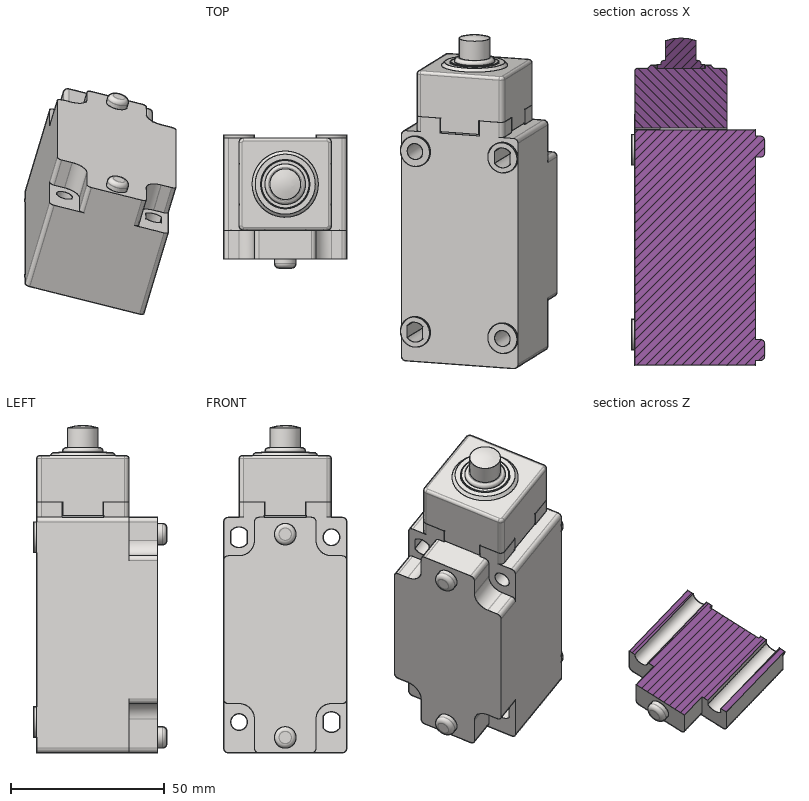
import cadquery as cq
import math


housing_width = 40.0
housing_depth = 39.3
housing_height = 76.5
edge_radius = 1.5

ear_depth = 30.0
lobe_width = 20.0
notch_radius = 5.0
notch_reach = 6.0

hole_spacing_x = 30.0
hole_spacing_z = 60.0
lower_hole_z = 10.0
hole_diameter = 5.3
slot_length = 6.6
pad_diameter = 10.0
pad_thickness = 1.0
upper_hole_z = lower_hole_z + hole_spacing_z
hole_x = hole_spacing_x / 2

screw_diameter = 7.0
screw_height = 3.0
screw_edge_radius = 1.5
screw_bottom_z = 5.0
screw_top_z = 71.0

head_size = 30.0
head_height = 20.0
post_height = 5.0
head_foot_width = 13.0
post_gap = 0.25
foot_gap = 0.5
head_top_radius = 1.0
head_center_y = -head_size / 2
head_base_z = housing_height + post_height
head_top_z = housing_height + head_height
post_width = head_size / 2 - head_foot_width / 2 - post_gap

collar_base_diameter = 21.5
collar_top_diameter = 19.5
collar_height = 1.0
recess_diameter = 16.0

flange_radius = 15.4 / 2
flange_height = 1.25
shoulder_radius = 13.2 / 2
shoulder_height = 2.6
shoulder_edge_radius = 1.2
plunger_radius = 5.0
plunger_edge_height = 9.0
plunger_height = 9.85


def block_on(z, size_x, size_y, height):
    """Rectangular block on height z, centred on the head axis."""
    return (
        cq.Workplane("XY", origin=(0, head_center_y, z))
        .rect(size_x, size_y)
        .extrude(height)
    )


def rounded_column(z, height):
    """Square column of the head's footprint with rounded vertical edges."""
    return block_on(z, head_size, head_size, height).edges("|Z").fillet(edge_radius)


def lobe_outline():
    """Front outline of the housing, with a rounded notch at each corner."""
    side_x = housing_width / 2
    lobe_x = lobe_width / 2
    low_z = lower_hole_z + notch_reach
    high_z = upper_hole_z - notch_reach
    return (
        cq.Workplane("XZ", origin=(0, -ear_depth, 0))
        .moveTo(-lobe_x, 0)
        .lineTo(lobe_x, 0)
        .lineTo(lobe_x, low_z - notch_radius)
        .radiusArc((lobe_x + notch_radius, low_z), notch_radius)
        .lineTo(side_x, low_z)
        .lineTo(side_x, high_z)
        .lineTo(lobe_x + notch_radius, high_z)
        .radiusArc((lobe_x, high_z + notch_radius), notch_radius)
        .lineTo(lobe_x, housing_height)
        .lineTo(-lobe_x, housing_height)
        .lineTo(-lobe_x, high_z + notch_radius)
        .radiusArc((-lobe_x - notch_radius, high_z), notch_radius)
        .lineTo(-side_x, high_z)
        .lineTo(-side_x, low_z)
        .lineTo(-lobe_x - notch_radius, low_z)
        .radiusArc((-lobe_x, low_z - notch_radius), notch_radius)
        .close()
    )


def front_lobe():
    """Front part of the housing, its outer corners rounded."""
    lobe = lobe_outline().extrude(housing_depth - ear_depth)
    ends = lobe.edges("|Y").edges(">Z or <Z")
    shoulders = lobe.edges("|Y").edges(">X or <X")
    return lobe.newObject(ends.vals() + shoulders.vals()).fillet(edge_radius)


def ear_plate():
    """Rear part of the housing, which forms the mounting ears."""
    return (
        cq.Workplane("XY")
        .box(housing_width, ear_depth, housing_height, centered=(True, False, False))
        .translate((0, -ear_depth, 0))
        .edges("|Y")
        .fillet(edge_radius)
    )


def corner_posts():
    """Four posts on the housing top that carry the head's corners."""
    clear_width = head_size - 2 * post_width
    return (
        rounded_column(housing_height, post_height)
        .cut(block_on(housing_height, clear_width, head_size, post_height))
        .cut(block_on(housing_height, head_size, clear_width, post_height))
    )


def rear_bar(x, z, diameter):
    """Round bar along Y through the ears and pads at a mounting hole."""
    return (
        cq.Workplane("XZ", origin=(x, pad_thickness, z))
        .circle(diameter / 2)
        .extrude(ear_depth + pad_thickness)
    )


def slot_bar(x, z):
    """Round bar along Y with its sides cut flat to the hole width."""
    flats = (
        cq.Workplane("XZ", origin=(x, pad_thickness, z))
        .rect(hole_diameter, slot_length)
        .extrude(ear_depth + pad_thickness)
    )
    return rear_bar(x, z, slot_length).intersect(flats)


def screw_head(z):
    """Domed cover screw head on the front face."""
    return (
        cq.Workplane("XZ", origin=(0, -housing_depth, z))
        .circle(screw_diameter / 2)
        .extrude(screw_height)
        .faces("<Y")
        .edges()
        .fillet(screw_edge_radius)
    )


def make_housing():
    """Housing with its posts, rear pads, screw heads and mounting holes."""
    body = ear_plate().union(front_lobe()).union(corner_posts())
    for x in (-hole_x, hole_x):
        for z in (lower_hole_z, upper_hole_z):
            pad = (
                cq.Workplane("XZ", origin=(x, pad_thickness, z))
                .circle(pad_diameter / 2)
                .extrude(pad_thickness)
            )
            body = body.union(pad)
    for z in (screw_bottom_z, screw_top_z):
        body = body.union(screw_head(z))
    for x, z in ((-hole_x, lower_hole_z), (hole_x, upper_hole_z)):
        body = body.cut(rear_bar(x, z, hole_diameter))
    for x, z in ((hole_x, lower_hole_z), (-hole_x, upper_hole_z)):
        body = body.cut(slot_bar(x, z))
    return body


def make_head():
    """Head block with a cross-shaped foot between the posts and a recessed collar."""
    foot_z = housing_height + foot_gap
    foot_height = post_height - foot_gap
    collar_slope = math.degrees(
        math.atan2((collar_base_diameter - collar_top_diameter) / 2, collar_height)
    )
    block = rounded_column(head_base_z, head_height - post_height)
    block = block.faces(">Z").edges().fillet(head_top_radius)
    collar = (
        cq.Workplane("XY", origin=(0, head_center_y, head_top_z))
        .circle(collar_base_diameter / 2)
        .extrude(collar_height, taper=collar_slope)
    )
    recess = (
        cq.Workplane("XY", origin=(0, head_center_y, head_top_z))
        .circle(recess_diameter / 2)
        .extrude(collar_height)
    )
    return (
        block
        .union(block_on(foot_z, head_foot_width, head_size, foot_height))
        .union(block_on(foot_z, head_size, head_foot_width, foot_height))
        .union(collar.cut(recess))
    )


def make_plunger():
    """Turned plunger with a domed tip, standing in the collar's recess."""
    shoulder_top_radius = shoulder_radius - shoulder_edge_radius
    dome_height = plunger_height - plunger_edge_height
    dome_radius = (plunger_radius**2 + dome_height**2) / (2 * dome_height)
    profile = (
        cq.Workplane("XZ", origin=(0, head_center_y, head_top_z))
        .lineTo(flange_radius, 0)
        .lineTo(flange_radius, flange_height)
        .lineTo(shoulder_radius, flange_height)
        .lineTo(shoulder_radius, shoulder_height - shoulder_edge_radius)
        .radiusArc((shoulder_top_radius, shoulder_height), -shoulder_edge_radius)
        .lineTo(plunger_radius, shoulder_height)
        .lineTo(plunger_radius, plunger_edge_height)
        .radiusArc((0, plunger_height), -dome_radius)
        .close()
    )
    return profile.revolve(360, (0, 0, 0), (0, 1, 0))


housing = make_housing()
head = make_head()
plunger = make_plunger()

result = cq.Compound.makeCompound([housing.val(), head.val(), plunger.val()])